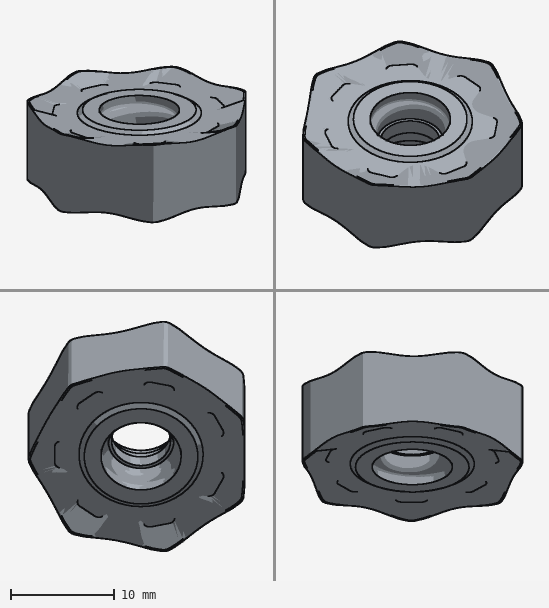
import cadquery as cq
import math

SIDES = 7
HALF_SECTOR = math.pi / SIDES
HALF_HEIGHT = 4.0

WIDTH = 21.3
STRAIGHT_HALF = 3.3
FACET_TILT = math.radians(4.5)
CORNER_RADIUS = 1.21
FACET_BLEND_RADIUS = 0.98

CORNER_CENTRE = (WIDTH / 2 - CORNER_RADIUS) / math.cos(HALF_SECTOR / 2)
FACET_OFFSET = CORNER_RADIUS + CORNER_CENTRE * math.cos(HALF_SECTOR - FACET_TILT)
APOTHEM = (FACET_OFFSET - STRAIGHT_HALF * math.sin(FACET_TILT)) / math.cos(FACET_TILT)

LAND_WIDTH = 0.2
EDGE_DIP = 0.5
DIP_HALF_LENGTH = 4.47

PLATEAU_Z = 3.2
LOBE_REACH = 8.35
LOBE_RADIUS = 0.64
VALLEY_REACH = 6.41
VALLEY_RADIUS = 1.55
FLANK_ANGLE = math.radians(43.6)
RIM_BREAKS = [0, 1.21, 2.66, 3.6]

BOSS_Z = 3.51
BOSS_FOOT_RADIUS = 6.0
BOSS_TOP_RADIUS = 5.5

THROAT_RADIUS = 2.85
THROAT_HALF_HEIGHT = 0.77
BORE_RADIUS = 3.17
BORE_TOP_Z = 1.55
MOUTH_RADIUS = 3.88
SHOULDER_RADIUS = 1.1
MOUTH_BLEND_RADIUS = 0.5
SHOULDER_TURN = math.acos(1 - (MOUTH_RADIUS - BORE_RADIUS) / (SHOULDER_RADIUS + MOUTH_BLEND_RADIUS))

SHEET_SPREAD = 1.1
PRISM_MARGIN = 0.21
SPLINE_STEPS = 8

CORNER_X = CORNER_CENTRE * math.sin(HALF_SECTOR)
CORNER_D = CORNER_CENTRE * math.cos(HALF_SECTOR)
RIM_RADIUS = CORNER_RADIUS - LAND_WIDTH
RIM_END_X = CORNER_X + RIM_RADIUS * math.sin(HALF_SECTOR)

ORIGIN = cq.Vector(0, 0, 0)
Z_AXIS = cq.Vector(0, 0, 1)


def polar(r, angle):
    return cq.Vector(r * math.cos(angle), r * math.sin(angle), 0)


def make_prism():
    """Prism with the insert's outline, a little taller than the insert."""
    kink_r = math.hypot(APOTHEM, STRAIGHT_HALF)
    kink_angle = math.atan2(STRAIGHT_HALF, APOTHEM)
    corner_r = FACET_OFFSET / math.cos(HALF_SECTOR - FACET_TILT)
    corner_turn = 2 * (HALF_SECTOR - FACET_TILT)
    bends = [
        (kink_r, -kink_angle, -FACET_TILT / 2, FACET_TILT, FACET_BLEND_RADIUS),
        (kink_r, kink_angle, FACET_TILT / 2, FACET_TILT, FACET_BLEND_RADIUS),
        (corner_r, HALF_SECTOR, HALF_SECTOR, corner_turn, CORNER_RADIUS),
    ]
    half_length = HALF_HEIGHT + PRISM_MARGIN
    outline = cq.Workplane("XY", origin=(0, 0, -half_length))
    for side in range(SIDES):
        middle = 2 * HALF_SECTOR * side - math.pi / 2
        for r, angle, outward, turn, rounding in bends:
            centre = polar(r, middle + angle) - polar(rounding / math.cos(turn / 2), middle + outward)
            start, mid, end = [
                (centre + polar(rounding, middle + outward + part * turn / 2)).toTuple()[:2]
                for part in (-1, 0, 1)
            ]
            is_first = side == 0 and angle < 0
            outline = outline.moveTo(*start) if is_first else outline.lineTo(*start)
            outline = outline.threePointArc(mid, end)
    return outline.close().extrude(2 * half_length).val()


def edge_height(x):
    reach = min(abs(x) / DIP_HALF_LENGTH, 1)
    return HALF_HEIGHT - EDGE_DIP * (1 + math.cos(math.pi * reach)) / 2


def rim_point(x):
    """Point on the inner border of the land."""
    if x > CORNER_X + RIM_RADIUS * math.sin(FACET_TILT):
        d = CORNER_D + math.sqrt(RIM_RADIUS ** 2 - (x - CORNER_X) ** 2)
    else:
        facet_d = (FACET_OFFSET - LAND_WIDTH - x * math.sin(FACET_TILT)) / math.cos(FACET_TILT)
        d = min(APOTHEM - LAND_WIDTH, facet_d)
    return cq.Vector(x, -d, edge_height(x))


def mirror_at_corner(point):
    """Mirror a point in the plane through the axis and the corner that ends the side."""
    double = 2 * HALF_SECTOR
    x = -point.x * math.cos(double) - point.y * math.sin(double)
    y = -point.x * math.sin(double) + point.y * math.cos(double)
    return cq.Vector(x, y, point.z)


def rim_edges(spread):
    """Rim curves from a side's middle to the far end of its corner, scaled outward by spread."""
    ends = RIM_BREAKS[1:] + [RIM_END_X]
    edges = []
    for start, end in zip(RIM_BREAKS, ends):
        points = [rim_point(start + (end - start) * i / SPLINE_STEPS) for i in range(SPLINE_STEPS + 1)]
        if end == RIM_END_X:
            points += [mirror_at_corner(p) for p in points[-2::-1]]
        edges.append(cq.Edge.makeSpline([cq.Vector(p.x * spread, p.y * spread, p.z) for p in points]))
    return edges


def plateau_edges():
    """Plateau outline from the valley middle to the far end of the lobe's straight tip."""
    lobe_turn = FLANK_ANGLE + HALF_SECTOR
    valley_d = VALLEY_REACH + VALLEY_RADIUS
    flank_offset = VALLEY_RADIUS - valley_d * math.cos(FLANK_ANGLE)
    lobe_u = LOBE_REACH - LOBE_RADIUS
    lobe_v = (flank_offset + LOBE_RADIUS + lobe_u * math.cos(lobe_turn)) / math.sin(lobe_turn)
    lobe_x = lobe_u * math.sin(HALF_SECTOR) + lobe_v * math.cos(HALF_SECTOR)
    lobe_d = lobe_u * math.cos(HALF_SECTOR) - lobe_v * math.sin(HALF_SECTOR)

    def valley(angle):
        reach = polar(VALLEY_RADIUS, math.pi / 2 - angle)
        return reach + cq.Vector(0, -valley_d, PLATEAU_Z)

    def lobe(angle):
        reach = polar(LOBE_RADIUS, angle - math.pi / 2)
        return reach + cq.Vector(lobe_x, -lobe_d, PLATEAU_Z)

    lobe_start = -FLANK_ANGLE
    return [
        cq.Edge.makeThreePointArc(valley(0), valley(FLANK_ANGLE / 2), valley(FLANK_ANGLE)),
        cq.Edge.makeLine(valley(FLANK_ANGLE), lobe(lobe_start)),
        cq.Edge.makeThreePointArc(lobe(lobe_start), lobe((lobe_start + HALF_SECTOR) / 2), lobe(HALF_SECTOR)),
        cq.Edge.makeLine(lobe(HALF_SECTOR), mirror_at_corner(lobe(HALF_SECTOR))),
    ]


def make_top_sheet():
    """Plateau, chip faces and land joined into one sheet."""
    feet = plateau_edges()
    rims = rim_edges(1)
    outer_rims = rim_edges(SHEET_SPREAD)
    chip_faces = [cq.Face.makeRuledSurface(foot, rim) for foot, rim in zip(feet, rims)]
    land_faces = [cq.Face.makeRuledSurface(rim, outer) for rim, outer in zip(rims, outer_rims)]
    faces = []
    outline = []
    for shapes, collected in ((chip_faces, faces), (land_faces, faces), (feet, outline)):
        sector = shapes + [shape.mirror("YZ") for shape in shapes[:-1]]
        for side in range(SIDES):
            collected += [shape.rotate(ORIGIN, Z_AXIS, 360 / SIDES * side) for shape in sector]
    faces.append(cq.Face.makeFromWires(cq.Wire.combine(outline)[0]))
    return cq.Shell.makeShell(faces)


def make_body():
    """Prism trimmed to the shaped sheet on both ends."""
    sheet = make_top_sheet()
    pieces = make_prism().split(sheet, sheet.mirror("XY")).Solids()
    return cq.Workplane(max(pieces, key=lambda piece: piece.Volume()))


def make_boss():
    return (
        cq.Workplane("XY", origin=(0, 0, PLATEAU_Z))
        .circle(BOSS_FOOT_RADIUS)
        .workplane(offset=BOSS_Z - PLATEAU_Z)
        .circle(BOSS_TOP_RADIUS)
        .loft(ruled=True)
    )


def make_hole_seat():
    """Upper end of the hole above the throat, as a revolved profile."""
    def shoulder(turn):
        x = BORE_RADIUS + SHOULDER_RADIUS * (1 - math.cos(turn))
        return x, BORE_TOP_Z + SHOULDER_RADIUS * math.sin(turn)

    mouth_z = BORE_TOP_Z + (SHOULDER_RADIUS + MOUTH_BLEND_RADIUS) * math.sin(SHOULDER_TURN)

    def mouth(turn):
        x = MOUTH_RADIUS - MOUTH_BLEND_RADIUS * (1 - math.cos(turn))
        return x, mouth_z - MOUTH_BLEND_RADIUS * math.sin(turn)

    return (
        cq.Workplane("XZ")
        .moveTo(0, THROAT_HALF_HEIGHT)
        .lineTo(BORE_RADIUS, THROAT_HALF_HEIGHT)
        .lineTo(BORE_RADIUS, BORE_TOP_Z)
        .threePointArc(shoulder(SHOULDER_TURN / 2), shoulder(SHOULDER_TURN))
        .threePointArc(mouth(SHOULDER_TURN / 2), (MOUTH_RADIUS, mouth_z))
        .lineTo(MOUTH_RADIUS, BOSS_Z)
        .lineTo(0, BOSS_Z)
        .close()
        .revolve(360, (0, 0, 0), (0, 1, 0))
    )


boss = make_boss()
hole_seat = make_hole_seat()
throat = cq.Workplane("XY", origin=(0, 0, -BOSS_Z)).circle(THROAT_RADIUS).extrude(2 * BOSS_Z)
result = make_body().union(boss).union(boss.mirror("XY"))
result = result.cut(throat).cut(hole_seat).cut(hole_seat.mirror("XY"))